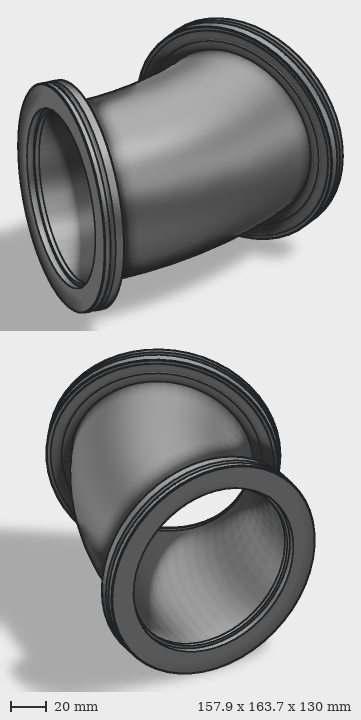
import cadquery as cq

bend_angle = 35.0
bend_radius = 200.2
tube_outer_radius = 101.5 / 2
tube_inner_radius = 98.6 / 2

flange_radius = 130.0 / 2
flange_thickness = 12.0
edge_chamfer = 0.5
socket_radius = 102.0 / 2
sealing_recess_depth = 4.0
tube_stop_depth = 6.5

rim_groove_radius = 1.5
rim_groove_center = 5.0

clamp_recess_inner_radius = 112.5 / 2
clamp_recess_outer_radius = 125.0 / 2
clamp_recess_depth = 1.0
clamp_recess_fillet = 0.5


def make_elbow():
    """Bent tube that starts at the origin along -Y and curves toward -X."""
    return (
        cq.Workplane("XZ")
        .circle(tube_outer_radius)
        .circle(tube_inner_radius)
        .revolve(bend_angle, (-bend_radius, 0, 0), (-bend_radius, -1, 0))
    )


def make_flange():
    """Flange on the Y axis; its lip meets the tube end at Y = 0."""
    face_y = tube_stop_depth
    back_y = face_y - flange_thickness
    recess_floor_y = back_y + clamp_recess_depth
    fillet_start_y = recess_floor_y - clamp_recess_fillet
    groove_y = face_y - rim_groove_center
    profile = (
        cq.Workplane("XY")
        .moveTo(socket_radius, face_y)
        .lineTo(flange_radius - edge_chamfer, face_y)
        .lineTo(flange_radius, face_y - edge_chamfer)
        .lineTo(flange_radius, groove_y + rim_groove_radius)
        .threePointArc(
            (flange_radius - rim_groove_radius, groove_y),
            (flange_radius, groove_y - rim_groove_radius),
        )
        .lineTo(flange_radius, back_y + edge_chamfer)
        .lineTo(flange_radius - edge_chamfer, back_y)
        .lineTo(clamp_recess_outer_radius, back_y)
        .lineTo(clamp_recess_outer_radius, fillet_start_y)
        .radiusArc((clamp_recess_outer_radius - clamp_recess_fillet, recess_floor_y), -clamp_recess_fillet)
        .lineTo(clamp_recess_inner_radius + clamp_recess_fillet, recess_floor_y)
        .radiusArc((clamp_recess_inner_radius, fillet_start_y), -clamp_recess_fillet)
        .lineTo(clamp_recess_inner_radius, back_y)
        .lineTo(socket_radius, back_y)
        .lineTo(socket_radius, 0)
        .lineTo(tube_inner_radius, 0)
        .lineTo(tube_inner_radius, face_y - sealing_recess_depth)
        .lineTo(socket_radius, face_y - sealing_recess_depth)
        .close()
    )
    return profile.revolve(360, (0, 0, 0), (0, 1, 0))


elbow = make_elbow()

bend_center = (-bend_radius, 0, 0)
bend_axis_end = (-bend_radius, 0, 1)
flanges = []
for end_angle, turn_about in ((0, 0), (-bend_angle, 180)):
    flange = make_flange().rotate((0, 0, 0), (0, 0, 1), turn_about)
    flanges.append(flange.rotate(bend_center, bend_axis_end, end_angle))

result = cq.Compound.makeCompound([elbow.val(), *[flange.val() for flange in flanges]])